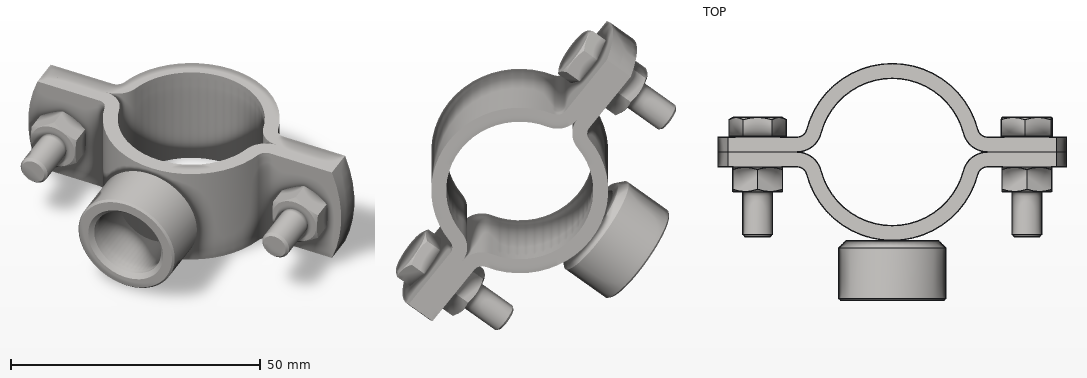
import cadquery as cq
import math

STRAP_WIDTH = 22.0
STRAP_THICKNESS = 3.0
RING_OUTER_RADIUS = 17.75
RING_INNER_RADIUS = RING_OUTER_RADIUS - STRAP_THICKNESS
BEND_INNER_RADIUS = 2.0
BEND_OUTER_RADIUS = BEND_INNER_RADIUS + STRAP_THICKNESS
EAR_TIP_X = 35.0
EAR_TIP_RADIUS = 30.0

BEND_CENTER_Y = STRAP_THICKNESS + BEND_INNER_RADIUS
BEND_CENTER_X = math.sqrt((RING_OUTER_RADIUS + BEND_INNER_RADIUS) ** 2 - BEND_CENTER_Y ** 2)
BEND_ANGLE = math.atan2(BEND_CENTER_Y, BEND_CENTER_X)

COLLAR_LENGTH = 12.0
COLLAR_RADIUS = 10.75
COLLAR_BORE_RADIUS = 7.475
COLLAR_REAR_CHAMFER = 1.5
COLLAR_FRONT_CHAMFER = 0.4
COLLAR_MOUTH_CHAMFER = 0.9
MOUTH_CONE_ANGLE = 90.0

BOLT_X = 27.0
BOLT_RADIUS = 3.0
BOLT_LENGTH = 20.0
BOLT_TIP_CHAMFER = 0.5
HEAD_HEIGHT = 4.0
WASHER_FACE_HEIGHT = 0.2
WASHER_FACE_RADIUS = 4.5
NUT_HEIGHT = 5.0
HEX_ACROSS_FLATS = 10.0
HEX_CORNER_RADIUS = HEX_ACROSS_FLATS / math.sqrt(3)
HEX_CROWN_RADIUS = 4.85
HEX_CHAMFER_ANGLE = 30.0

HEX_BLANK_CLEARANCE = 0.5

BOLT_PLACES = [(-BOLT_X, 0.0), (BOLT_X, 33.7)]
NUT_TURN = 30.0


def ring_point(radius, angle):
    """Point on a circle about the ring axis."""
    return (radius * math.cos(angle), radius * math.sin(angle))


def bend_point(radius, side):
    """Middle of a bend arc on the side where X has the sign of `side`."""
    middle = (math.pi / 2 + BEND_ANGLE) / 2
    return (
        side * (BEND_CENTER_X - radius * math.cos(middle)),
        BEND_CENTER_Y - radius * math.sin(middle),
    )


def make_rear_half():
    """Half ring with a bend and a flat ear at each end, on the +Y side."""
    half = (
        cq.Workplane("XY")
        .workplane(offset=-STRAP_WIDTH / 2)
        .moveTo(-EAR_TIP_X, 0)
        .lineTo(-BEND_CENTER_X, 0)
        .threePointArc(
            bend_point(BEND_OUTER_RADIUS, -1),
            ring_point(RING_INNER_RADIUS, math.pi - BEND_ANGLE),
        )
        .threePointArc((0, RING_INNER_RADIUS), ring_point(RING_INNER_RADIUS, BEND_ANGLE))
        .threePointArc(bend_point(BEND_OUTER_RADIUS, 1), (BEND_CENTER_X, 0))
        .lineTo(EAR_TIP_X, 0)
        .lineTo(EAR_TIP_X, STRAP_THICKNESS)
        .lineTo(BEND_CENTER_X, STRAP_THICKNESS)
        .threePointArc(
            bend_point(BEND_INNER_RADIUS, 1),
            ring_point(RING_OUTER_RADIUS, BEND_ANGLE),
        )
        .threePointArc(
            (0, RING_OUTER_RADIUS),
            ring_point(RING_OUTER_RADIUS, math.pi - BEND_ANGLE),
        )
        .threePointArc(bend_point(BEND_INNER_RADIUS, -1), (-BEND_CENTER_X, STRAP_THICKNESS))
        .lineTo(-EAR_TIP_X, STRAP_THICKNESS)
        .close()
        .extrude(STRAP_WIDTH)
    )
    bolt_holes = (
        cq.Workplane("XZ")
        .pushPoints([(-BOLT_X, 0), (BOLT_X, 0)])
        .circle(BOLT_RADIUS)
        .extrude(-STRAP_THICKNESS)
    )
    return half.intersect(make_rounded_envelope()).cut(bolt_holes)


def make_rounded_envelope():
    """Block, seen along Y, whose two ends carry the arcs of the ear tips."""
    half_width = STRAP_WIDTH / 2
    corner_x = EAR_TIP_X - EAR_TIP_RADIUS + math.sqrt(EAR_TIP_RADIUS ** 2 - half_width ** 2)
    return (
        cq.Workplane("XZ")
        .moveTo(-corner_x, -half_width)
        .lineTo(corner_x, -half_width)
        .threePointArc((EAR_TIP_X, 0), (corner_x, half_width))
        .lineTo(-corner_x, half_width)
        .threePointArc((-EAR_TIP_X, 0), (-corner_x, -half_width))
        .close()
        .extrude(-RING_OUTER_RADIUS)
    )


def make_collar():
    """Bored collar whose flat rear face touches the front of the ring."""
    body = (
        cq.Workplane("XZ", origin=(0, -RING_OUTER_RADIUS, 0))
        .circle(COLLAR_RADIUS)
        .extrude(COLLAR_LENGTH)
        .faces(">Y").chamfer(COLLAR_REAR_CHAMFER)
        .faces("<Y").chamfer(COLLAR_FRONT_CHAMFER)
    )
    return (
        body.faces("<Y").workplane()
        .cskHole(
            2 * COLLAR_BORE_RADIUS,
            2 * (COLLAR_BORE_RADIUS + COLLAR_MOUTH_CHAMFER),
            MOUTH_CONE_ANGLE,
        )
    )


def make_hexagon(rear_y, height, chamfered_faces):
    """Hexagon on the Y axis, corners on X, with conical chamfers on the chosen faces."""
    blank_radius = HEX_CORNER_RADIUS + HEX_BLANK_CLEARANCE
    radial = blank_radius - HEX_CROWN_RADIUS
    axial = radial * math.tan(math.radians(HEX_CHAMFER_ANGLE))
    base = cq.Workplane("XZ", origin=(0, rear_y, 0))
    crown = base.circle(blank_radius).extrude(height)
    for face in chamfered_faces:
        end_edges = crown.faces(face).edges().vals()
        crown = cq.Workplane(crown.val().chamfer(axial, radial, end_edges))
    return base.polygon(6, 2 * HEX_CORNER_RADIUS).extrude(height).intersect(crown)


def place(body, x, turn):
    """Turn a body about its own axis, from +X towards +Z, and move it along X."""
    return body.rotate((0, 0, 0), (0, -1, 0), turn).translate((x, 0, 0))


def make_bolt():
    """Hexagon bolt through both ears, head at the rear and tip at the front."""
    head = make_hexagon(STRAP_THICKNESS + HEAD_HEIGHT, HEAD_HEIGHT - WASHER_FACE_HEIGHT, [">Y"])
    washer_face = (
        cq.Workplane("XZ", origin=(0, STRAP_THICKNESS + WASHER_FACE_HEIGHT, 0))
        .circle(WASHER_FACE_RADIUS)
        .extrude(WASHER_FACE_HEIGHT)
    )
    shank = (
        cq.Workplane("XZ", origin=(0, STRAP_THICKNESS, 0))
        .circle(BOLT_RADIUS)
        .extrude(BOLT_LENGTH)
        .faces("<Y").chamfer(BOLT_TIP_CHAMFER)
    )
    return head.union(washer_face).union(shank)


def make_nut():
    """Hexagon nut seated on the front ear, chamfered on both faces."""
    bore = (
        cq.Workplane("XZ", origin=(0, -STRAP_THICKNESS, 0))
        .circle(BOLT_RADIUS)
        .extrude(NUT_HEIGHT)
    )
    return make_hexagon(-STRAP_THICKNESS, NUT_HEIGHT, ["<Y", ">Y"]).cut(bore)


rear_half = make_rear_half()
front_half = rear_half.mirror("XZ")
collar = make_collar()
bolts = [place(make_bolt(), x, turn) for x, turn in BOLT_PLACES]
nuts = [place(make_nut(), x, NUT_TURN) for x, _ in BOLT_PLACES]

result = cq.Compound.makeCompound([
    rear_half.val(),
    front_half.val(),
    collar.val(),
    *[bolt.val() for bolt in bolts],
    *[nut.val() for nut in nuts],
])